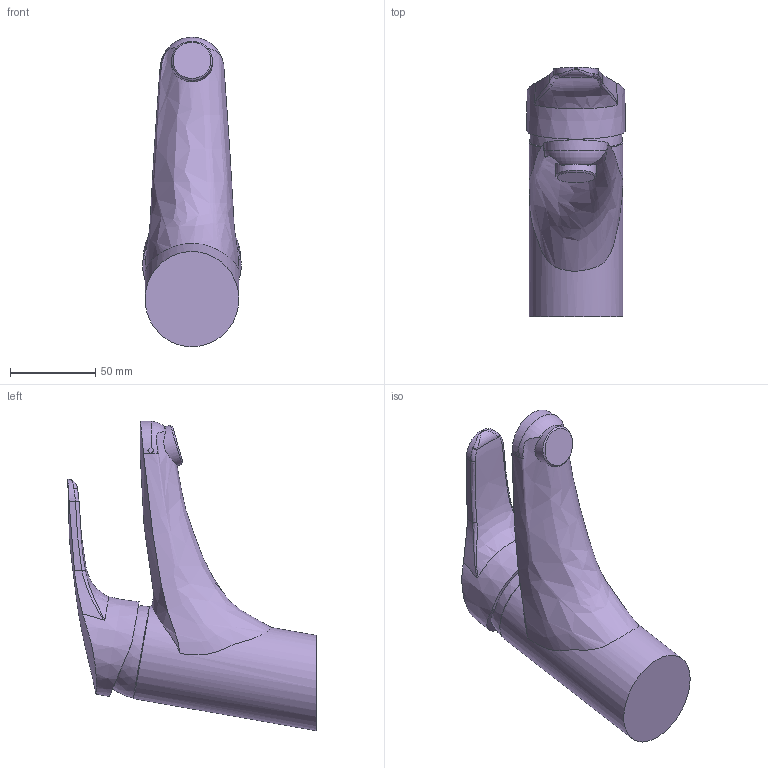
import cadquery as cq
import math


tilt = 10.0
tube_radius = 27.6
tube_length = 105.0
tube_chamfer = 0.8
dome_radius = 27.2
dome_reach = 15.0
dome_overlap = 1.0

spout_top = 153.97
head_radius = 18.8
head_axis = spout_top - head_radius
head_rear = 110.0
brow_start = (97.2, head_radius)
brow_middle = (93.0, 17.8)
brow_end = (89.2, 15.4)
head_front = (80.0, 8.0)
spout_foot = 16.3
spout_section_step = 20.0
ellipse_spans = 6
spout_sections = [
    (100.0, 80.0, 18.0, 27.4),
    (99.6, 85.6, 33.3, 25.5),
    (96.6, 90.9, 57.3, 24.0),
    (99.7, 94.4, 67.4, 23.0),
    (102.3, 97.5, 75.0, 21.6),
    (103.5, 100.0, 79.9, 20.3),
    (103.8, 101.8, 84.0, 18.8),
    (103.8, 102.5, 87.7, 18.2),
]

nozzle_tilt = 16.0
nozzle_radius = 12.0
nozzle_chamfer = 0.9
nozzle_depth = 8.0
nozzle_face_center = (81.6, 140.4)

cap_front = 111.0
cap_front_radius = 29.06
cap_rear_radius = 28.4
cap_length = 45.0
relief_pivot = 4.0
relief_angle = 23.0
crown_radius = 105.0
crown_limit = 150.0
lever_back = [
    (146.32, 122.0), (146.28, 107.3), (145.2, 83.9), (143.8, 69.2),
    (141.3, 47.1), (137.6, 26.6), (129.5, -6.5), (125.5, -22.0),
]
blade_front = [
    (115.0, 49.3), (125.1, 52.3), (132.4, 59.6), (135.4, 67.7), (138.3, 88.3), (140.5, 114.0),
]
blade_nose = (142.0, 118.0)
blade_top_land = 1.0
blade_edge = [(15.5, 66.0), (17.3, 57.0), (21.5, 46.0), (25.2, 35.0)]
blade_tip = 119.9
blade_tip_width = 26.0
blade_rim_round = 2.0


def axial_plane(distance):
    """Plane across the tube axis, its normal pointing along the tube."""
    angle = math.radians(tilt)
    direction = (0, math.cos(angle), math.sin(angle))
    origin = tuple(distance * part for part in direction)
    return cq.Plane(origin=origin, xDir=(1, 0, 0), normal=direction)


def side_plane():
    """Middle plane with local x along Y and local y along Z."""
    return cq.Workplane("YZ")


def make_tube():
    """Tilted cylinder cut square to Y at the base, with a chamfered rear rim."""
    overrun = tube_radius
    tube = cq.Workplane(axial_plane(-overrun)).circle(tube_radius).extrude(overrun + tube_length)
    tube = tube.faces(">Y").chamfer(tube_chamfer)
    room = 4 * tube_length
    ahead_of_base = cq.Workplane("XY").box(room, room, room).translate((0, room / 2, 0))
    return tube.intersect(ahead_of_base)


def make_dome():
    """Part of a ball, set in the end of the tube, that shows under the lever cap."""
    ball = cq.Workplane(axial_plane(tube_length)).sphere(dome_radius)
    keep = cq.Workplane(axial_plane(tube_length - dome_overlap)).circle(tube_radius).extrude(dome_reach)
    return ball.intersect(keep)


def spout_section(height, back, corner, front, half_width):
    """Half-ellipse front closed by a shallow curve at the back."""
    depth = corner - front
    angles = [math.pi * i / ellipse_spans for i in range(ellipse_spans + 1)]
    ellipse = [(half_width * math.cos(a), corner - depth * math.sin(a)) for a in angles]
    section = (
        cq.Workplane("XY", origin=(0, 0, height))
        .moveTo(*ellipse[0])
        .spline(ellipse[1:], tangents=[(0, -1), (0, 1)], includeCurrent=True)
        .spline([(0, back), ellipse[0]], includeCurrent=True)
        .close()
    )
    return section.val()


def make_spout():
    """Curved neck lofted up from inside the tube and rounded off at its head."""
    wires = []
    for level, section in enumerate(spout_sections):
        wires.append(spout_section(spout_foot + level * spout_section_step, *section))
    spout = cq.Workplane(cq.Solid.makeLoft(wires))
    room = 2 * spout_top
    below_head = cq.Workplane("XY").rect(room, room).extrude(head_axis)
    return spout.intersect(make_head_dome().union(below_head))


def make_head_dome():
    """Rounded head envelope turned about a line along Y; points are (Y, radius)."""
    return (
        side_plane()
        .workplane(origin=(0, 0, head_axis))
        .moveTo(head_rear, 0)
        .lineTo(head_rear, head_radius)
        .lineTo(*brow_start)
        .threePointArc(brow_middle, brow_end)
        .lineTo(*head_front)
        .lineTo(head_front[0], 0)
        .close()
        .revolve(360, (0, 0, 0), (1, 0, 0))
    )


def make_nozzle():
    """Short round outlet whose face tips upward."""
    angle = math.radians(nozzle_tilt)
    outward = (0, -math.cos(angle), math.sin(angle))
    plane = cq.Plane(origin=(0, *nozzle_face_center), xDir=(1, 0, 0), normal=outward)
    nozzle = cq.Workplane(plane).circle(nozzle_radius).extrude(-nozzle_depth)
    return nozzle.faces("<Y").chamfer(nozzle_chamfer)


def make_cap():
    """Slightly tapered drum, relieved on a slant below the tube axis."""
    cap = (
        cq.Workplane(axial_plane(cap_front))
        .circle(cap_front_radius)
        .workplane(offset=cap_length)
        .circle(cap_rear_radius)
        .loft()
    )
    angle = math.radians(tilt)
    pivot_y = cap_front * math.cos(angle) - relief_pivot * math.sin(angle)
    pivot_z = cap_front * math.sin(angle) + relief_pivot * math.cos(angle)
    reach = 2 * cap_front_radius
    slope = math.tan(math.radians(relief_angle))
    relief = (
        side_plane()
        .moveTo(pivot_y, pivot_z)
        .lineTo(pivot_y + reach * slope, pivot_z - reach)
        .lineTo(pivot_y - reach, pivot_z - reach)
        .close()
        .extrude(reach, both=True)
    )
    return cap.cut(relief)


def make_blade():
    """Lever blade: a flare around the tube axis trimmed to the tapered plan."""
    angle = math.radians(tilt)
    foot = (blade_front[0][0], blade_front[0][0] * math.tan(angle))
    heel = (crown_limit, crown_limit * math.tan(angle))
    flare = (
        side_plane()
        .moveTo(*foot)
        .lineTo(*blade_front[0])
        .spline(blade_front[1:], includeCurrent=True)
        .threePointArc(blade_nose, (lever_back[0][0] - blade_top_land, blade_tip))
        .lineTo(crown_limit, blade_tip)
        .lineTo(*heel)
        .close()
        .revolve(360, (0, 0, 0), (math.cos(angle), math.sin(angle), 0))
    )
    tip = blade_tip_width / 2
    edge = [(tip, blade_tip - tip)] + blade_edge
    mirrored = [(-x, z) for x, z in reversed(edge)]
    plan = (
        cq.Workplane("XZ")
        .moveTo(*edge[0])
        .lineTo(*edge[1])
        .spline(edge[2:], includeCurrent=True)
        .lineTo(*mirrored[0])
        .spline(mirrored[1:-1], includeCurrent=True)
        .lineTo(*mirrored[-1])
        .threePointArc((0, blade_tip), edge[0])
        .close()
        .extrude(-crown_limit)
    )
    blade = flare.intersect(plan)
    clearance = 1.0
    rim_zone = cq.selectors.BoxSelector(
        (-cap_front_radius, blade_front[0][0], blade_edge[-1][1] + clearance),
        (cap_front_radius, crown_limit - clearance, blade_tip),
    )
    return blade.edges("%BSPLINE").edges(rim_zone).fillet(blade_rim_round)


def make_crown():
    """Solid of revolution whose outer face is the crowned back of the lever."""
    axis_y = lever_back[0][0] - crown_radius
    top = lever_back[0][1]
    bottom = lever_back[-1][1]
    return (
        side_plane()
        .moveTo(axis_y, top)
        .lineTo(*lever_back[0])
        .spline(lever_back[1:], includeCurrent=True)
        .lineTo(axis_y, bottom)
        .close()
        .revolve(360, (axis_y, 0, 0), (axis_y, 1, 0))
    )


def make_lever():
    """Cap and blade together, trimmed to the crowned back."""
    lever = make_cap().union(make_blade())
    return lever.intersect(make_crown())


result = (
    make_tube()
    .union(make_dome())
    .union(make_spout())
    .union(make_nozzle())
    .union(make_lever())
)